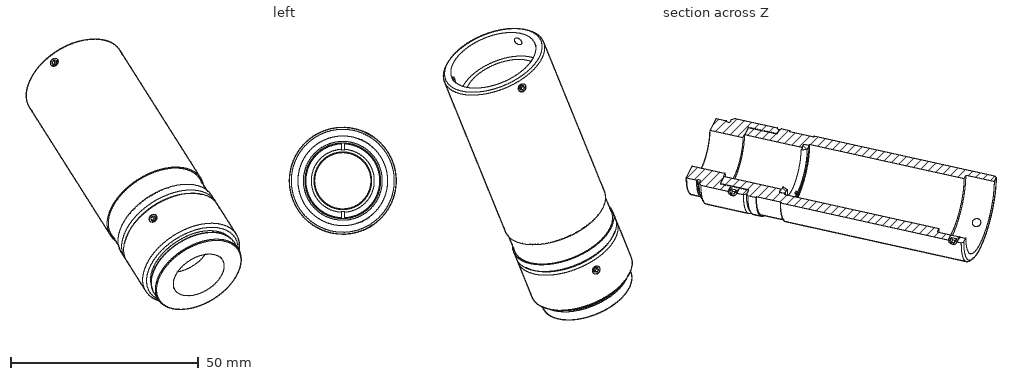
import cadquery as cq
import math

total_length = 78.4
outer_diameter = 28.55

front_chamfer = 0.55
grip_start = 51.35
grip_end = 58.2
grip_diameter = 27.8
joint_x = 61.1
joint_chamfer = 0.6
socket_diameter = 23.9
socket_depth = 8.0
bore_diameter = 21.0
ring_seat_x = grip_start
spigot_clearance = 0.1
spigot_diameter = socket_diameter - spigot_clearance
spigot_end = joint_x + socket_depth
rear_bore_diameter = 17.5

ring_diameter = 20.15
ring_face_diameter = 19.7
ring_thickness = 1.5
ring_mouth_diameter = 16.8
ring_throat_diameter = 15.4
ring_chamfer = (ring_diameter - ring_face_diameter) / 2
spanner_slot_width = 0.8
spanner_slot_depth = 0.5

cap_face_x = 74.4
cap_rear_chamfer = 0.8
relief_end = 75.2
relief_diameter = 24.6
thread_diameter = 25.3
thread_chamfer = 0.2
thread_end_diameter = thread_diameter - 2 * thread_chamfer
cap_bore_diameter = 15.0

screw_diameter = 2.3
screw_tip_radius = socket_diameter / 2
screw_length = 2.1
hex_across_flats = 1.25
hex_depth = 1.0
screw_offset_from_front = 3.0
screw_offset_from_joint = 3.8
screw_stations = [screw_offset_from_front, joint_x + screw_offset_from_joint]
screw_angles = [0, 120, 240]


def revolve_about_x(points):
    """Turn a closed (x, radius) outline about the X axis."""
    return cq.Workplane("XY").polyline(points).close().revolve(360, (0, 0, 0), (1, 0, 0))


def radial_plane(x, angle, distance):
    """Plane facing outward from the X axis, at the given distance from it."""
    outward = cq.Vector(0, math.cos(math.radians(angle)), math.sin(math.radians(angle)))
    origin = cq.Vector(x, 0, 0) + outward * distance
    return cq.Plane(origin=origin, xDir=cq.Vector(1, 0, 0), normal=outward)


def drill_screw_holes(body, x):
    """Drill the three radial set screw holes through the wall at one station."""
    start = screw_tip_radius - screw_length
    for angle in screw_angles:
        drill = cq.Workplane(radial_plane(x, angle, start)).circle(screw_diameter / 2)
        body = body.cut(drill.extrude(outer_diameter / 2))
    return body


def make_barrel():
    outer_r = outer_diameter / 2
    grip_r = grip_diameter / 2
    spigot_r = spigot_diameter / 2
    rear_bore_r = rear_bore_diameter / 2
    ring_r = ring_diameter / 2
    bore_r = bore_diameter / 2
    socket_r = socket_diameter / 2
    ring_back_x = ring_seat_x + ring_thickness
    body = revolve_about_x([
        (0, socket_r),
        (0, outer_r - front_chamfer),
        (front_chamfer, outer_r),
        (grip_start, outer_r),
        (grip_start, grip_r),
        (grip_end, grip_r),
        (grip_end, outer_r),
        (joint_x - joint_chamfer, outer_r),
        (joint_x, outer_r - joint_chamfer),
        (joint_x, spigot_r),
        (spigot_end, spigot_r),
        (spigot_end, rear_bore_r),
        (ring_back_x, rear_bore_r),
        (ring_back_x, ring_r),
        (ring_seat_x, ring_r),
        (ring_seat_x, bore_r),
        (socket_depth, bore_r),
        (socket_depth, socket_r),
    ])
    return drill_screw_holes(body, screw_stations[0])


def make_retaining_ring():
    back_x = ring_seat_x + ring_thickness
    ring = revolve_about_x([
        (ring_seat_x, ring_mouth_diameter / 2),
        (ring_seat_x, ring_face_diameter / 2),
        (ring_seat_x + ring_chamfer, ring_diameter / 2),
        (back_x, ring_diameter / 2),
        (back_x, ring_throat_diameter / 2),
    ])
    slot = cq.Workplane("XY").box(
        spanner_slot_depth, spanner_slot_width, ring_diameter, centered=(False, True, True)
    )
    return ring.cut(slot.translate((ring_seat_x, 0, 0)))


def make_cap():
    outer_r = outer_diameter / 2
    thread_r = thread_diameter / 2
    thread_end_r = thread_end_diameter / 2
    relief_r = relief_diameter / 2
    bore_r = cap_bore_diameter / 2
    socket_r = socket_diameter / 2
    body = revolve_about_x([
        (joint_x, socket_r),
        (joint_x, outer_r - joint_chamfer),
        (joint_x + joint_chamfer, outer_r),
        (cap_face_x - cap_rear_chamfer, outer_r),
        (cap_face_x, outer_r - cap_rear_chamfer),
        (cap_face_x, relief_r),
        (relief_end, relief_r),
        (relief_end, thread_end_r),
        (relief_end + thread_chamfer, thread_r),
        (total_length - thread_chamfer, thread_r),
        (total_length, thread_end_r),
        (total_length, bore_r),
        (spigot_end, bore_r),
        (spigot_end, socket_r),
    ])
    return drill_screw_holes(body, screw_stations[1])


def make_set_screw(x, angle):
    """Hex socket set screw standing radially, its flat tip level with the socket wall."""
    tip = radial_plane(x, angle, screw_tip_radius)
    screw = cq.Workplane(tip).circle(screw_diameter / 2).extrude(screw_length)
    hex_floor = radial_plane(x, angle, screw_tip_radius + screw_length - hex_depth)
    hex_corner_diameter = hex_across_flats / math.cos(math.pi / 6)
    socket = cq.Workplane(hex_floor).polygon(6, hex_corner_diameter).extrude(hex_depth)
    return screw.cut(socket)


barrel = make_barrel()
retaining_ring = make_retaining_ring()
cap = make_cap()
set_screws = [make_set_screw(x, angle) for x in screw_stations for angle in screw_angles]

result = cq.Compound.makeCompound([
    barrel.val(),
    retaining_ring.val(),
    cap.val(),
    *[screw.val() for screw in set_screws],
])